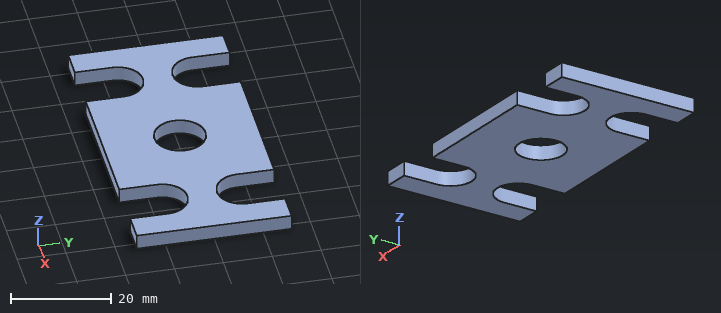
import cadquery as cq

length = 63.5
width = 31.75
thickness = 3.25

hole_diameter = 10.41

slot_width = 10.16
bar_width = 6.096
slot_depth = (width - bar_width) / 2
slot_offset = length / 2 - bar_width - slot_width / 2


def make_plate():
    """Flat rectangular plate centred on the origin in X and Y, resting on Z = 0."""
    return cq.Workplane("XY").box(length, width, thickness, centered=(True, True, False))


def make_slot(x, side):
    """Slot cutter at x, running in from the +Y edge (side = 1) or the -Y edge (side = -1)."""
    radius = slot_width / 2
    edge_y = side * width / 2
    arc_y = edge_y - side * (slot_depth - radius)
    bottom_y = edge_y - side * slot_depth
    return (
        cq.Workplane("XY")
        .moveTo(x - radius, edge_y)
        .lineTo(x - radius, arc_y)
        .threePointArc((x, bottom_y), (x + radius, arc_y))
        .lineTo(x + radius, edge_y)
        .close()
        .extrude(thickness)
    )


result = make_plate().faces(">Z").workplane().hole(hole_diameter)
for slot_x in (-slot_offset, slot_offset):
    for slot_side in (-1, 1):
        result = result.cut(make_slot(slot_x, slot_side))